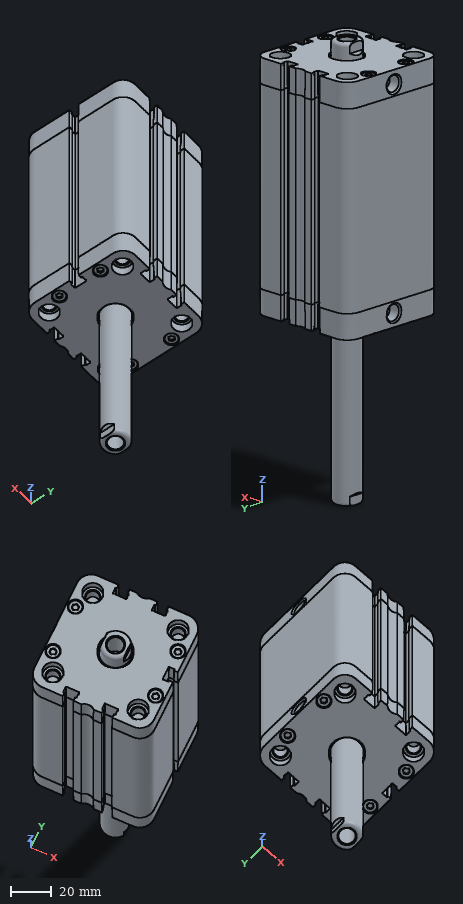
import cadquery as cq

TOTAL_HEIGHT = 241.0
HOUSING_TOP = 232.3
HOUSING_HEIGHT = 134.0
CAP_HEIGHT = 13.7
HOUSING_BOTTOM = HOUSING_TOP - HOUSING_HEIGHT
BARREL_HEIGHT = HOUSING_HEIGHT - 2 * CAP_HEIGHT

WIDTH = 65.5
HALF_WIDTH = WIDTH / 2
CORNER_RADIUS = 8.0
CAP_DRAFT = 0.6

SLOT_OFFSET = 10.5
SLOT_OPENING = 5.5
SLOT_CHAMBER = 7.0
SLOT_DEPTH = 5.3
SLOT_LIP = 2.5
GROOVE_WIDTH = 6.5
GROOVE_DEPTH = 1.2
GROOVE_RADIUS = (GROOVE_WIDTH**2 / 4 + GROOVE_DEPTH**2) / (2 * GROOVE_DEPTH)

ROD_DIAMETER = 16.0
ROD_RADIUS = ROD_DIAMETER / 2
ROD_END_FILLET = 2.0
FLAT_WIDTH = 13.0
FLAT_LENGTH = 5.3
SOCKET_DIAMETER = 8.5
SOCKET_MOUTH = 9.6
SOCKET_DEPTH = 19.3

GUIDE_DIAMETER = 16.6
GUIDE_RECESS = 18.0
GUIDE_RECESS_DEPTH = 1.2

MOUNT_SPACING = 46.5
MOUNT_OFFSET = MOUNT_SPACING / 2
MOUNT_BORE = 10.5
MOUNT_BORE_DEPTH = 5.5
MOUNT_HOLE = 6.7
MOUNT_HOLE_MOUTH = 7.7

SCREW_X = 28.0
SCREW_Y = 13.0
SCREW_MOUTH = 7.7
SCREW_HEAD = 6.7
SCREW_SOCKET = 3.5
SCREW_SOCKET_DEPTH = 1.2

PORT_FROM_END = 7.5
PORT_MOUTH = 10.5
PORT_DIAMETER = 8.7
PORT_DEPTH = 7.2
DUCT_DIAMETER = 3.5
DUCT_OFFSET = 2.2
DUCT_DEPTH = 14.5


def profile():
    """Rounded square with two slots and a groove at +Y and -Y and one slot at +X."""
    chamber_depth = SLOT_DEPTH - SLOT_LIP
    mouth_center = HALF_WIDTH - SLOT_DEPTH / 2
    chamber_center = HALF_WIDTH - SLOT_DEPTH + chamber_depth / 2
    groove_center = HALF_WIDTH - GROOVE_DEPTH + GROOVE_RADIUS

    def slot_rows(y):
        return [(x, side * y) for x in (-SLOT_OFFSET, SLOT_OFFSET) for side in (-1, 1)]

    outline = cq.Sketch().rect(WIDTH, WIDTH).vertices().fillet(CORNER_RADIUS).reset()
    outline = outline.push(slot_rows(mouth_center)).rect(SLOT_OPENING, SLOT_DEPTH, mode="s").reset()
    outline = outline.push(slot_rows(chamber_center)).rect(SLOT_CHAMBER, chamber_depth, mode="s").reset()
    outline = outline.push([(mouth_center, 0)]).rect(SLOT_DEPTH, SLOT_OPENING, mode="s").reset()
    outline = outline.push([(chamber_center, 0)]).rect(chamber_depth, SLOT_CHAMBER, mode="s").reset()
    grooves = outline.push([(0, -groove_center), (0, groove_center)])
    return grooves.circle(GROOVE_RADIUS, mode="s").reset().clean()


def countersink(mouth, hole, depth):
    """Round hole going down from Z = 0 with a 45 degree mouth."""
    chamfer_depth = (mouth - hole) / 2
    bore = cq.Workplane("XY").circle(hole / 2).extrude(-depth)
    return bore.union(cq.Workplane("XY").circle(mouth / 2).extrude(-chamfer_depth, taper=45))


def cut_at_corners(body, cutter, x, y, z):
    """Cut a copy of the cutter at (+-x, +-y, z)."""
    for side_x in (-x, x):
        for side_y in (-y, y):
            body = body.cut(cutter.translate((side_x, side_y, z)))
    return body


def guide_cutter():
    recess = cq.Workplane("XY").circle(GUIDE_RECESS / 2).extrude(-GUIDE_RECESS_DEPTH)
    return recess.union(cq.Workplane("XY").circle(GUIDE_DIAMETER / 2).extrude(-CAP_HEIGHT))


def mount_cutter():
    bore = cq.Workplane("XY").circle(MOUNT_BORE / 2).extrude(-MOUNT_BORE_DEPTH)
    hole = countersink(MOUNT_HOLE_MOUTH, MOUNT_HOLE, CAP_HEIGHT - MOUNT_BORE_DEPTH)
    return bore.union(hole.translate((0, 0, -MOUNT_BORE_DEPTH)))


def screw_cutter():
    """Sunken screw head with a hexagonal socket whose corners point along Y."""
    recess_depth = (SCREW_MOUTH - SCREW_HEAD) / 2
    recess = cq.Workplane("XY").circle(SCREW_MOUTH / 2).extrude(-recess_depth, taper=45)
    socket = cq.Workplane("XY").polygon(6, SCREW_SOCKET).extrude(-recess_depth - SCREW_SOCKET_DEPTH)
    return recess.union(socket.rotate((0, 0, 0), (0, 0, 1), 90))


def port_cutter():
    """Countersunk air port in the -X face and the narrow duct beyond its floor."""
    port = countersink(PORT_MOUTH, PORT_DIAMETER, PORT_DEPTH).rotate((0, 0, 0), (0, 1, 0), -90)
    duct = cq.Workplane("YZ").center(0, -DUCT_OFFSET).circle(DUCT_DIAMETER / 2).extrude(DUCT_DEPTH)
    return port.union(duct).translate((-HALF_WIDTH, 0, CAP_HEIGHT - PORT_FROM_END))


def make_barrel():
    barrel = cq.Workplane("XY").placeSketch(profile()).extrude(BARREL_HEIGHT)
    rod_hole = cq.Workplane("XY").circle(ROD_RADIUS).extrude(BARREL_HEIGHT)
    return barrel.cut(rod_hole).translate((0, 0, HOUSING_BOTTOM + CAP_HEIGHT))


def make_cap():
    """End cap with its joint on Z = 0 and its outer face upwards."""
    cap = cq.Workplane("XY").placeSketch(profile()).extrude(CAP_HEIGHT, taper=CAP_DRAFT)
    cap = cap.cut(guide_cutter().translate((0, 0, CAP_HEIGHT)))
    cap = cut_at_corners(cap, mount_cutter(), MOUNT_OFFSET, MOUNT_OFFSET, CAP_HEIGHT)
    cap = cut_at_corners(cap, screw_cutter(), SCREW_X, SCREW_Y, CAP_HEIGHT)
    return cap.cut(port_cutter())


def flat_cutter():
    """Prism below Z = 0 that leaves a flat on the +X side with a 45 degree run-out."""
    flat_x = FLAT_WIDTH / 2
    runout = ROD_RADIUS - flat_x
    outline = cq.Workplane("XZ").moveTo(flat_x, 0).lineTo(flat_x, -FLAT_LENGTH)
    outline = outline.lineTo(ROD_RADIUS, -FLAT_LENGTH - runout).lineTo(ROD_RADIUS, 0).close()
    return outline.extrude(ROD_RADIUS, both=True)


def make_rod():
    """Through rod with rounded end edges, two flats and a socket at both ends."""
    rod = cq.Workplane("XY").circle(ROD_RADIUS).extrude(TOTAL_HEIGHT)
    rod = rod.edges("%CIRCLE").fillet(ROD_END_FILLET)
    flat = flat_cutter()
    end = flat.union(flat.mirror("YZ")).union(countersink(SOCKET_MOUTH, SOCKET_DIAMETER, SOCKET_DEPTH))
    return rod.cut(end.translate((0, 0, TOTAL_HEIGHT))).cut(end.mirror("XY"))


barrel = make_barrel()
rod = make_rod()
top_cap = make_cap().translate((0, 0, HOUSING_TOP - CAP_HEIGHT))
bottom_cap = make_cap().mirror("XY").translate((0, 0, HOUSING_BOTTOM + CAP_HEIGHT))

bodies = (barrel, top_cap, bottom_cap, rod)
result = cq.Compound.makeCompound([body.solids().val() for body in bodies])